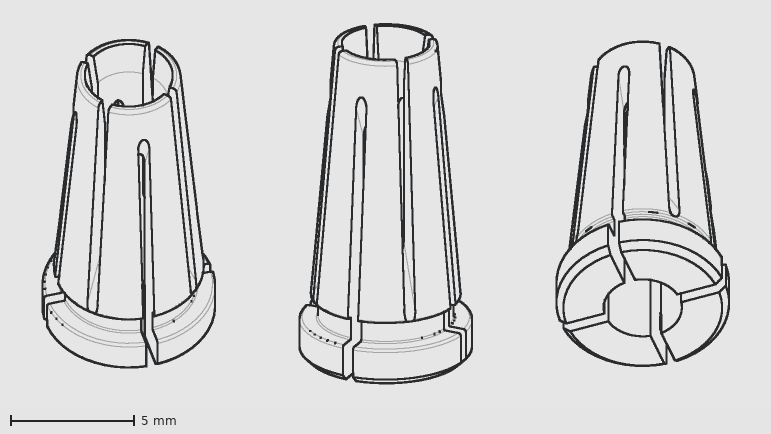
import cadquery as cq
import math

height = 13.6
flange_radius = 7.0 / 2
flange_top = 1.58
flange_chamfer = 0.29
flange_round = 0.11

neck_radius = 2.75
neck_round = 0.07

sleeve_bottom = 2.55
sleeve_bottom_radius = 3.05
sleeve_top_radius = 2.1
sleeve_bottom_round = 0.08
sleeve_top_round = 0.16

bore_radius = 3.17 / 2
mouth_radius = 1.78
mouth_depth = 1.41

slot_width = 0.46
slot_count = 4
slot_spacing = 360 / slot_count
lower_slot_inner_end = 10.6
lower_slot_slope = 66.0
upper_slot_inner_end = 4.98
upper_slot_slope = 60.0
cut_margin = 1.36

edge_tolerance = 0.001


def revolve_profile(points):
    """Revolve a closed (radius, height) outline around the Z axis."""
    return cq.Workplane("XZ").polyline(points).close().revolve(360, (0, 0), (0, 1))


def round_circle(body, radius, z, round_radius):
    """Fillet the horizontal circular edge of the given radius and height."""
    def is_target(edge):
        return abs(edge.radius() - radius) < edge_tolerance and abs(edge.Center().z - z) < edge_tolerance

    return body.edges("%CIRCLE").filter(is_target).fillet(round_radius)


def make_body():
    body = revolve_profile([
        (0, 0),
        (flange_radius - flange_chamfer, 0),
        (flange_radius, flange_chamfer),
        (flange_radius, flange_top),
        (neck_radius, flange_top),
        (neck_radius, sleeve_bottom),
        (sleeve_bottom_radius, sleeve_bottom),
        (sleeve_top_radius, height),
        (0, height),
    ])
    body = round_circle(body, neck_radius, flange_top, neck_round)
    body = round_circle(body, neck_radius, sleeve_bottom, neck_round)
    body = round_circle(body, flange_radius, flange_top, flange_round)
    body = round_circle(body, sleeve_bottom_radius, sleeve_bottom, sleeve_bottom_round)
    return round_circle(body, sleeve_top_radius, height, sleeve_top_round)


def make_bore():
    return revolve_profile([
        (0, 0),
        (bore_radius, 0),
        (bore_radius, height - mouth_depth),
        (mouth_radius, height),
        (0, height),
    ])


def make_slot(inner_end, slope, opens_up):
    """Slot along +X with a round-bottomed ramp crossing the bore wall at inner_end.

    The ramp rises outward when the slot opens downward, and falls outward when it opens upward.
    """
    side = 1 if opens_up else -1
    tangent = math.tan(math.radians(slope))
    axis_offset = slot_width / 2 / math.cos(math.radians(slope))
    outer_radius = flange_radius + cut_margin
    open_z = height + cut_margin if opens_up else -cut_margin

    def axis_z(radius):
        return inner_end + side * (axis_offset - tangent * (radius - bore_radius))

    slit = (
        cq.Workplane("XZ")
        .polyline([
            (0, axis_z(0)),
            (outer_radius, axis_z(outer_radius)),
            (outer_radius, open_z),
            (0, open_z),
        ])
        .close()
        .extrude(slot_width / 2, both=True)
    )
    start = cq.Vector(0, 0, axis_z(0))
    along = cq.Vector(outer_radius, 0, axis_z(outer_radius)) - start
    ramp = cq.Solid.makeCylinder(slot_width / 2, along.Length, start, along)
    return slit.union(cq.Workplane(obj=ramp))


def cut_slots(body, slot, first_angle):
    for index in range(slot_count):
        angle = first_angle + index * slot_spacing
        body = body.cut(slot.rotate((0, 0, 0), (0, 0, 1), angle))
    return body


lower_slot = make_slot(lower_slot_inner_end, lower_slot_slope, opens_up=False)
upper_slot = make_slot(upper_slot_inner_end, upper_slot_slope, opens_up=True)

result = make_body().cut(make_bore())
result = cut_slots(result, lower_slot, 0)
result = cut_slots(result, upper_slot, slot_spacing / 2)